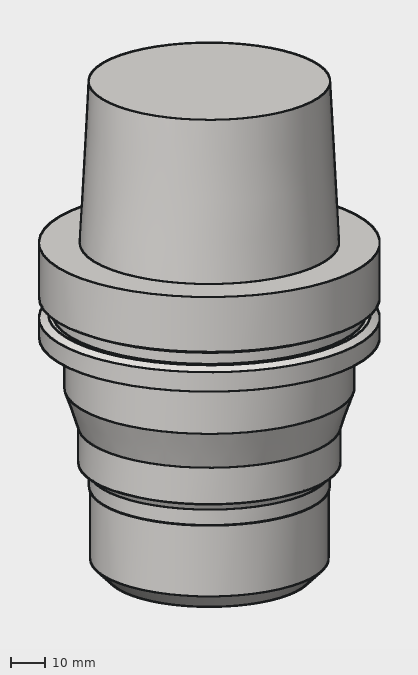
import cadquery as cq

nose_diameter = 44.8
chamfer_diameter = 60.2
body_diameter = 70.0
collar_diameter = 70.7
relief_diameter = 72.2
shoulder_diameter = 77.0
hub_diameter = 85.2
flange_diameter = 100.0
groove_diameter = 92.0
groove_rim_diameter = 94.5
taper_base_diameter = 76.0
taper_top_diameter = 70.8

nose_top = 1.5
chamfer_top = 6.5
body_top = 28.3
collar_bottom = 28.6
collar_top = 33.4
relief_top = 35.3
shoulder_bottom = 36.2
shoulder_top = 47.5
hub_bottom = 59.3
flange_bottom = 74.8
flange_top = 104.1
total_height = 154.0

groove_bottom = 80.8
groove_top = 87.2
groove_rim_height = 1.2

stations = [
    (nose_diameter, 0),
    (nose_diameter, nose_top),
    (chamfer_diameter, nose_top),
    (body_diameter, chamfer_top),
    (body_diameter, body_top),
    (collar_diameter, collar_bottom),
    (collar_diameter, collar_top),
    (relief_diameter, relief_top),
    (shoulder_diameter, shoulder_bottom),
    (shoulder_diameter, shoulder_top),
    (hub_diameter, hub_bottom),
    (hub_diameter, flange_bottom),
    (flange_diameter, flange_bottom),
    (flange_diameter, groove_bottom),
    (groove_rim_diameter, groove_bottom + groove_rim_height),
    (groove_diameter, groove_bottom + groove_rim_height),
    (groove_diameter, groove_top - groove_rim_height),
    (groove_rim_diameter, groove_top - groove_rim_height),
    (flange_diameter, groove_top),
    (flange_diameter, flange_top),
    (taper_base_diameter, flange_top),
    (taper_top_diameter, total_height),
]

outline = [(diameter / 2, height) for diameter, height in stations]
section = [(0, 0)] + outline + [(0, total_height)]
result = cq.Workplane("XZ").polyline(section).close().revolve(360, (0, 0), (0, 1))